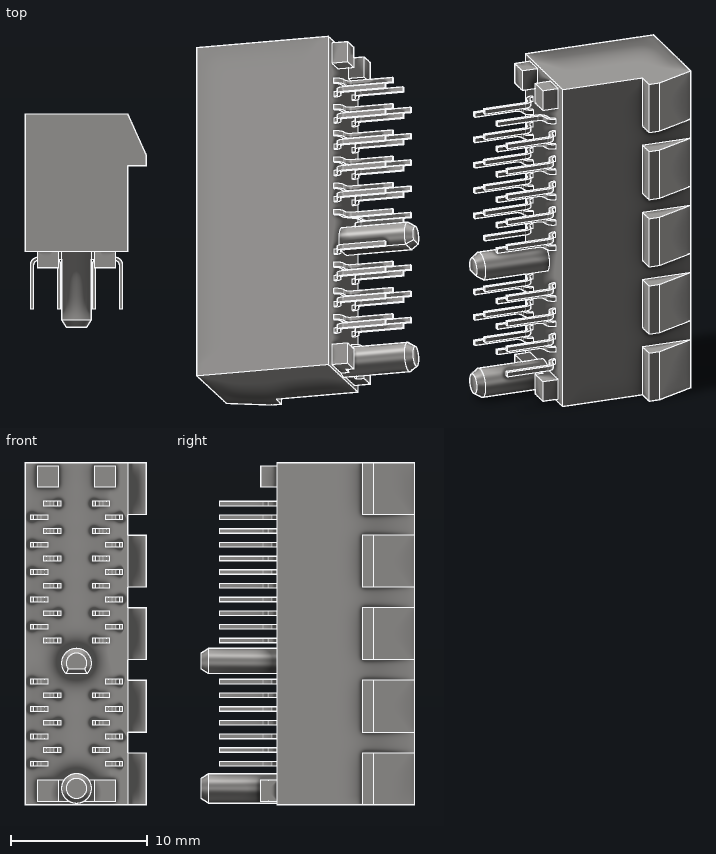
import cadquery as cq
import math

BODY_WIDTH = 7.5
BODY_DEPTH = 10.05
BODY_HEIGHT = 25.0
CENTER_X = BODY_WIDTH / 2

TOOTH_COUNT = 5
TOOTH_REACH = 1.35
TOOTH_HEIGHT = 3.8
TOOTH_DEPTH = 3.8
TOOTH_TIP_DEPTH = 0.8
TOOTH_PITCH = (BODY_HEIGHT - TOOTH_HEIGHT) / (TOOTH_COUNT - 1)

PAD_WIDTH = 1.55
PAD_HEIGHT = PAD_WIDTH
PAD_DEPTH = 1.2
PAD_OFFSET = 2.08
PAD_MARGIN = 0.25
BRIDGE_DEPTH = 0.6

PEG_DIAMETER = 2.18
PEG_LENGTH = 5.55
PEG_TIP_LENGTH = 0.55
PEG_SHAFT_LENGTH = PEG_LENGTH - PEG_TIP_LENGTH
PEG_TIP_INSET = 0.35
PEG_TIP_TAPER = math.degrees(math.atan(PEG_TIP_INSET / PEG_TIP_LENGTH))
LOWER_PEG_Z = 1.2
PEG_SPACING = 9.15
UPPER_PEG_Z = LOWER_PEG_Z + PEG_SPACING
UPPER_PEG_FLAT = 0.78

ROW_PITCH = 1.0
ROW_COUNT = 20
EMPTY_ROWS = (11, 12)
TOP_ROW_Z = BODY_HEIGHT / 2 + ROW_PITCH * (ROW_COUNT - 1) / 2
PIN_LENGTH = 4.2
PIN_THICKNESS = 0.25
PIN_HEIGHT = 0.35
PIN_STUB = 0.02
BEND_ANGLE = math.radians(80)
BEND_RADIUS = 0.48
PIN_JOG = 1.02
OUTER_PIN_END = 3.25
INNER_PIN_END = 1.28


def block(x_min, y_min, z_min, width, depth, height):
    """Box placed by its lowest corner."""
    return cq.Workplane("XY").box(width, depth, height, centered=False).translate((x_min, y_min, z_min))


def latch_tooth(z_min):
    """Wedge-shaped tooth, tapering toward the +Y end of the housing."""
    return (
        cq.Workplane("XY", origin=(BODY_WIDTH, BODY_DEPTH, z_min))
        .polyline([
            (0, 0),
            (TOOTH_REACH, TOOTH_TIP_DEPTH - TOOTH_DEPTH),
            (TOOTH_REACH, -TOOTH_DEPTH),
            (0, -TOOTH_DEPTH),
        ])
        .close()
        .extrude(TOOTH_HEIGHT)
    )


def peg(z, flat_drop=None):
    """Peg with a tapered tip; flat_drop cuts a flat that far below its axis."""
    shaft = cq.Workplane("XZ", origin=(CENTER_X, 0, z)).circle(PEG_DIAMETER / 2).extrude(PEG_SHAFT_LENGTH)
    if flat_drop is not None:
        cutter = block(
            CENTER_X - PEG_DIAMETER / 2, -PEG_LENGTH, z - flat_drop - PEG_DIAMETER,
            PEG_DIAMETER, PEG_LENGTH, PEG_DIAMETER,
        )
        shaft = shaft.cut(cutter)
    return shaft.faces("<Y").wires().toPending().workplane().extrude(PEG_TIP_LENGTH, taper=PEG_TIP_TAPER)


def bent_pin(start_x, z, direction):
    """Contact leaving the housing at start_x and jogging along X in the given direction."""
    end_x = start_x + direction * PIN_JOG

    def bend_shift(angle):
        """Sideways and lengthwise travel along a bend turned through the angle."""
        return direction * BEND_RADIUS * (1 - math.cos(angle)), BEND_RADIUS * math.sin(angle)

    half_dx, half_dy = bend_shift(BEND_ANGLE / 2)
    full_dx, full_dy = bend_shift(BEND_ANGLE)
    slant_dy = (PIN_JOG - 2 * abs(full_dx)) / math.tan(BEND_ANGLE)
    bends_end_y = -PIN_STUB - 2 * full_dy - slant_dy
    path = (
        cq.Workplane("XY", origin=(0, 0, z))
        .moveTo(start_x, 0)
        .lineTo(start_x, -PIN_STUB)
        .threePointArc(
            (start_x + half_dx, -PIN_STUB - half_dy),
            (start_x + full_dx, -PIN_STUB - full_dy),
        )
        .lineTo(end_x - full_dx, bends_end_y + full_dy)
        .threePointArc((end_x - half_dx, bends_end_y + half_dy), (end_x, bends_end_y))
        .lineTo(end_x, -PIN_LENGTH)
    )
    return cq.Workplane("XZ", origin=(start_x, 0, z)).rect(PIN_THICKNESS, PIN_HEIGHT).sweep(path)


result = block(0, 0, 0, BODY_WIDTH, BODY_DEPTH, BODY_HEIGHT)
for tooth in range(TOOTH_COUNT):
    result = result.union(latch_tooth(tooth * TOOTH_PITCH))

top_pad_z = BODY_HEIGHT - PAD_MARGIN - PAD_HEIGHT
for side in (-1, 1):
    pad_x = CENTER_X + side * PAD_OFFSET - PAD_WIDTH / 2
    for pad_z in (PAD_MARGIN, top_pad_z):
        result = result.union(block(pad_x, -PAD_DEPTH, pad_z, PAD_WIDTH, PAD_DEPTH, PAD_HEIGHT))
result = result.union(
    block(CENTER_X - PAD_OFFSET, -BRIDGE_DEPTH, PAD_MARGIN, 2 * PAD_OFFSET, BRIDGE_DEPTH, PAD_HEIGHT)
)

result = result.union(peg(LOWER_PEG_Z)).union(peg(UPPER_PEG_Z, UPPER_PEG_FLAT))

for row in range(ROW_COUNT):
    if row in EMPTY_ROWS:
        continue
    row_z = TOP_ROW_Z - row * ROW_PITCH
    for side in (-1, 1):
        if row % 2 == 0:
            pin = bent_pin(CENTER_X + side * (INNER_PIN_END + PIN_JOG), row_z, -side)
        else:
            pin = bent_pin(CENTER_X + side * (OUTER_PIN_END - PIN_JOG), row_z, side)
        result = result.union(pin)